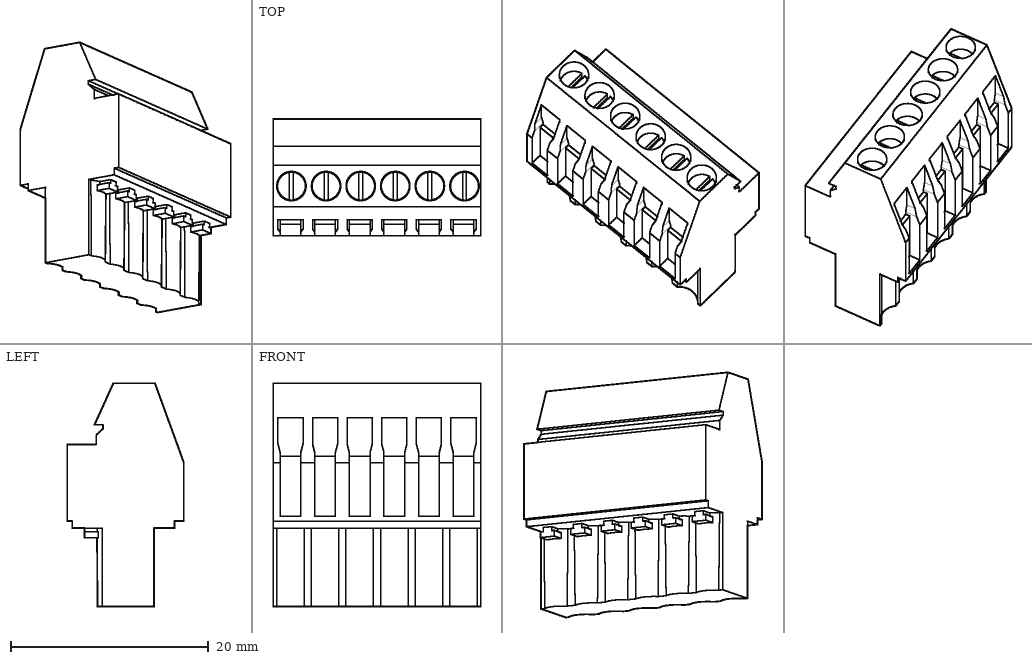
import cadquery as cq


POLES = 6
PITCH = 3.5
WIDTH = POLES * PITCH
POLE_X = [PITCH * (i + 0.5) for i in range(POLES)]

HEIGHT = 22.6
DEPTH = 11.83
PLUG_FRONT = 3.03
PLUG_BACK = 8.27
SHOULDER_Z = 7.95
SKIRT_Z = 8.65
SKIRT_FRONT = 0.95
SKIRT_BACK = DEPTH - 0.53
SLOPE_START_Z = 14.55
TOP_FRONT = 2.93
TOP_BACK = 7.15
BACK_STEP_Z = 16.4
NECK_Y = 8.88
NECK_TOP_Z = 17.35
NOTCH_Y = 8.2
NOTCH_START_Z = 18.0
HOOK_Y = 9.07
HOOK_Z = 18.37

SLOT_WIDTH = 2.1
SLOT_DEPTH = 1.2
SLOT_BOTTOM_Z = 9.15
LEDGE_Z = 15.2
MOUTH_WIDTH = 2.54
MOUTH_DEPTH = 1.65
TAPER_BOTTOM_Z = 15.6
TAPER_TOP_Z = 16.45

ARC_CHORD = 2.78
GROOVE_SAG = 0.65
RIB_SAG = 0.56
RIB_DRAFT = 0.5

KEY_BACK = 10.08
KEY_BOTTOM_Z = 6.95
KEY_STEP_Z = 7.55
KEY_WIDTH = 1.6
KEY_NECK_WIDTH = 1.0

SCREW_OFFSET_X = 0.1
SCREW_Y = (TOP_FRONT + TOP_BACK) / 2
WELL_DIAMETER = 2.96
WELL_DEPTH = 5.0
SCREW_RECESS = 1.9
SCREW_DIAMETER = 2.84
SCREW_LENGTH = WELL_DEPTH - SCREW_RECESS
DRIVE_WIDTH = 0.4
DRIVE_DEPTH = 0.8


def arc_radius(sag):
    """Radius of the arc that rises by `sag` over the common chord."""
    return (ARC_CHORD ** 2 / 4 + sag ** 2) / (2 * sag)


def box(x_center, width, y_range, z_range):
    """Box centred on x_center and spanning the given Y and Z ranges."""
    y0, y1 = y_range
    z0, z1 = z_range
    corner = (x_center - width / 2, y0, z0)
    return cq.Workplane("XY").box(width, y1 - y0, z1 - z0, centered=False).translate(corner)


def housing_blank():
    """Side profile swept over the full row of poles."""
    profile = [
        (PLUG_FRONT, 0),
        (PLUG_BACK, 0),
        (PLUG_BACK, SHOULDER_Z),
        (SKIRT_BACK, SHOULDER_Z),
        (SKIRT_BACK, SKIRT_Z),
        (DEPTH, SKIRT_Z),
        (DEPTH, BACK_STEP_Z),
        (NECK_Y, BACK_STEP_Z),
        (NECK_Y, NECK_TOP_Z),
        (NOTCH_Y, NOTCH_START_Z),
        (NOTCH_Y, HOOK_Z),
        (HOOK_Y, HOOK_Z),
        (TOP_BACK, HEIGHT),
        (TOP_FRONT, HEIGHT),
        (0, SLOPE_START_Z),
        (0, SKIRT_Z),
        (SKIRT_FRONT, SKIRT_Z),
        (SKIRT_FRONT, SHOULDER_Z),
        (PLUG_FRONT, SHOULDER_Z),
    ]
    return cq.Workplane("YZ").polyline(profile).close().extrude(WIDTH)


def test_slot(x):
    """Cutter for a front slot that steps back at a ledge and flares into a wider mouth."""
    half_slot = SLOT_WIDTH / 2
    half_mouth = MOUTH_WIDTH / 2
    mouth = (
        cq.Workplane("XZ")
        .moveTo(x - half_slot, LEDGE_Z)
        .lineTo(x + half_slot, LEDGE_Z)
        .lineTo(x + half_slot, TAPER_BOTTOM_Z)
        .lineTo(x + half_mouth, TAPER_TOP_Z)
        .lineTo(x + half_mouth, HEIGHT)
        .lineTo(x - half_mouth, HEIGHT)
        .lineTo(x - half_mouth, TAPER_TOP_Z)
        .lineTo(x - half_slot, TAPER_BOTTOM_Z)
        .close()
        .extrude(-MOUTH_DEPTH)
    )
    return mouth.union(box(x, SLOT_WIDTH, (0, SLOT_DEPTH), (SLOT_BOTTOM_Z, LEDGE_Z)))


def plug_groove(x):
    """Cutter for the concave groove in the front of the plug."""
    radius = arc_radius(GROOVE_SAG)
    center_y = PLUG_FRONT + GROOVE_SAG - radius
    return cq.Workplane("XY").center(x, center_y).circle(radius).extrude(SHOULDER_Z)


def plug_rib(x):
    """Convex rib on the back of the plug, drafted to be slimmer at the foot."""
    radius = arc_radius(RIB_SAG)
    center_y = PLUG_BACK + RIB_SAG - radius
    cone = (
        cq.Workplane("XY", origin=(x, center_y, SHOULDER_Z))
        .circle(radius)
        .extrude(-SHOULDER_Z, taper=RIB_DRAFT)
    )
    behind_plug = box(x, PITCH, (PLUG_BACK, DEPTH), (0, SHOULDER_Z))
    return cone.intersect(behind_plug)


def coding_key(x):
    """T-shaped key hanging below the shoulder behind a rib."""
    neck = box(x, KEY_NECK_WIDTH, (PLUG_BACK, KEY_BACK), (KEY_STEP_Z, SHOULDER_Z))
    foot = box(x, KEY_WIDTH, (PLUG_BACK, KEY_BACK), (KEY_BOTTOM_Z, KEY_STEP_Z))
    return neck.union(foot)


def screw_well(x):
    """Cutter for the blind well that holds a screw."""
    well = cq.Workplane("XY", origin=(x + SCREW_OFFSET_X, SCREW_Y, HEIGHT))
    return well.circle(WELL_DIAMETER / 2).extrude(-WELL_DEPTH)


def make_housing():
    body = housing_blank()
    for x in POLE_X:
        body = body.union(plug_rib(x)).union(coding_key(x))
        body = body.cut(test_slot(x)).cut(plug_groove(x)).cut(screw_well(x))
    return body


def make_screw(x):
    """Slotted screw standing on the floor of its well."""
    screw_x = x + SCREW_OFFSET_X
    floor_z = HEIGHT - WELL_DEPTH
    top_z = floor_z + SCREW_LENGTH
    shank = (
        cq.Workplane("XY", origin=(screw_x, SCREW_Y, floor_z))
        .circle(SCREW_DIAMETER / 2)
        .extrude(SCREW_LENGTH)
    )
    drive_y = (SCREW_Y - SCREW_DIAMETER / 2, SCREW_Y + SCREW_DIAMETER / 2)
    return shank.cut(box(screw_x, DRIVE_WIDTH, drive_y, (top_z - DRIVE_DEPTH, top_z)))


housing = make_housing()
screws = [make_screw(x) for x in POLE_X]

result = cq.Compound.makeCompound([housing.val(), *[screw.val() for screw in screws]])